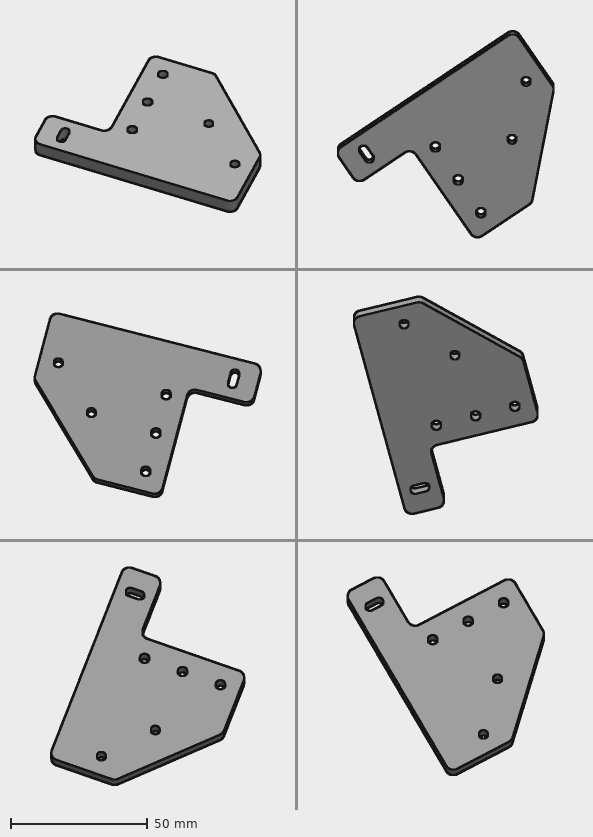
import cadquery as cq

length = 80.0
width = 56.7
thickness = 6.0
tab_length = 24.0
tab_width = 15.0
bevel = 30.9
corner_radius = 3.0

column_diameter = 3.5
column_x = 31.5
column_start_y = 19.5
column_pitch = 14.9
column_count = 3

pair_diameter = 3.3
pair_centers = [(56.4, 33.0), (72.9, 17.9)]

slot_length = 7.0
slot_width = 3.3
slot_center = (9.0, tab_width / 2)


def make_plate():
    outline = [
        (0, 0),
        (length, 0),
        (length, width - bevel),
        (length - bevel, width),
        (tab_length, width),
        (tab_length, tab_width),
        (0, tab_width),
    ]
    plate = cq.Workplane("XY").polyline(outline).close().extrude(thickness)
    return plate.edges("|Z").fillet(corner_radius)


def make_holes(centers, diameter):
    return cq.Workplane("XY").pushPoints(centers).circle(diameter / 2).extrude(thickness)


def make_slot():
    return cq.Workplane("XY").center(*slot_center).slot2D(slot_length, slot_width, 90).extrude(thickness)


column_centers = [(column_x, column_start_y + i * column_pitch) for i in range(column_count)]

result = (
    make_plate()
    .cut(make_holes(column_centers, column_diameter))
    .cut(make_holes(pair_centers, pair_diameter))
    .cut(make_slot())
)